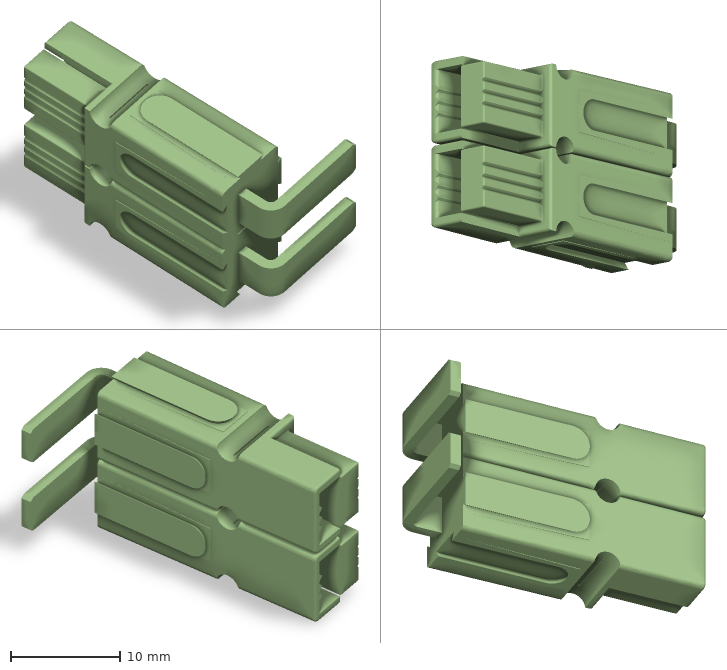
import cadquery as cq


PITCH = 7.9
MIDDLE = PITCH / 2
CONNECTOR_COUNT = 2
OVERALL_X = 28.75
OVERALL_Y = 14.05
HOUSING_REAR_X = 24.65
DRAFT_INSET = 0.12
LONG_EDGE_RADIUS = 0.5
HOOD_RIM_RADIUS = 0.25
SHOULDER_EDGE_RADIUS = 0.25

HOOD_FRONT_X = 0.1
SHOULDER_X = 8.0
HOOD_OPEN_Y = 4.0
POCKET_HEIGHT = 6.0
POCKET_WALL_ENTRY_Y = 6.95
POCKET_WALL_FLOOR_Y = 6.73
POCKET_LEAD_IN = 0.25
POCKET_LEAD_IN_RADIUS = 0.32

PLUG_BACK_Y = 3.9
PLUG_FACE_Y = 1.12
PLUG_HEIGHT = 5.8
PLUG_EDGE_RADIUS = 0.15
PLUG_ROOT_RADIUS = 0.17

KEY_COUNT = 3
KEY_PITCH = 1.12
GROOVE_DEPTH = 0.25

NOTCH_X = 10.0
NOTCH_RADIUS = 1.26
SLIT_WIDTH = 0.17
SLIT_DEPTH = 0.17
SLIT_LENGTH = 5.38
SLIT_MIDDLE_Y = 4.15

TONGUE_HEIGHT = 0.45
SLOT_DEPTH = 0.72
DOVETAIL_ROOT_WIDTH = 2.93
DOVETAIL_FLARE = 0.65
DOVETAIL_CENTRE_X = 13.85
PAD_START_X = 11.9
PAD_START_WIDTH = 3.85
PAD_END_WIDTH = 4.55
PAD_THICKNESS = 0.15

BLADE_THICKNESS = 1.04
BLADE_WIDTH = 3.82
BLADE_LOW_Y = 2.27
BLADE_INNER_RADIUS = 0.63
BLADE_TIP_CHAMFER_Y = 0.4
BLADE_TIP_CHAMFER_Z = 0.3
BLADE_ROOT_DEPTH = 2.88

NEAR = 0.3
EXACT = 0.03


def box(x, y, z):
    """Box from (low, high) pairs along X, Y and Z."""
    size = [high - low for low, high in (x, y, z)]
    return cq.Workplane("XY").box(*size, centered=False).translate((x[0], y[0], z[0]))


def edges_near(x, y, z):
    """Selector for edges whose centres lie inside the given (low, high) pairs."""
    return cq.selectors.BoxSelector((x[0], y[0], z[0]), (x[1], y[1], z[1]))


def drafted_block():
    """Square block that widens from the mating end to the rear."""
    front_side = PITCH - 2 * DRAFT_INSET
    return (
        cq.Workplane("YZ", origin=(HOOD_FRONT_X, MIDDLE, MIDDLE))
        .rect(front_side, front_side)
        .workplane(offset=HOUSING_REAR_X - HOOD_FRONT_X)
        .rect(PITCH, PITCH)
        .loft(ruled=True)
    )


def shell():
    """Housing outline: hood, shoulder, pin notches and rounded edges."""
    whole = (-NEAR, PITCH + NEAR)
    low = (-NEAR, NEAR)
    high = (PITCH - NEAR, PITCH + NEAR)
    rear = (NOTCH_X + NOTCH_RADIUS, HOUSING_REAR_X - NEAR)
    body = drafted_block().cut(box((0, SHOULDER_X), (0, HOOD_OPEN_Y), whole))
    for z in (0, PITCH):
        notch = cq.Workplane("XZ").center(NOTCH_X, z).circle(NOTCH_RADIUS).extrude(-PITCH)
        body = body.cut(notch)
    for z in (low, high):
        body = body.edges(edges_near((NEAR, HOUSING_REAR_X - NEAR), high, z)).fillet(LONG_EDGE_RADIUS)
        body = body.edges(edges_near(rear, low, z)).fillet(LONG_EDGE_RADIUS)
    beside_opening = (HOOD_OPEN_Y + NEAR, PITCH + NEAR)
    rim = body.faces("<X").edges(
        edges_near(low, beside_opening, low)
        + edges_near(low, beside_opening, high)
        + edges_near(low, high, whole)
    )
    body = rim.fillet(HOOD_RIM_RADIUS)
    at_shoulder = (SHOULDER_X - EXACT, SHOULDER_X + EXACT)
    below_hood = (-NEAR, HOOD_OPEN_Y - NEAR)
    shoulder = body.edges(
        edges_near(at_shoulder, below_hood, low)
        + edges_near(at_shoulder, below_hood, high)
        + edges_near(at_shoulder, low, whole)
    )
    return shoulder.fillet(SHOULDER_EDGE_RADIUS)


def key_heights():
    """Heights of the keying ribs and grooves."""
    return [MIDDLE + (i - (KEY_COUNT - 1) / 2) * KEY_PITCH for i in range(KEY_COUNT)]


def v_prism(tip_y, base_y, z):
    """90 degree wedge along X with its tip at tip_y, as long as the hood is deep."""
    half_width = abs(base_y - tip_y)
    return (
        cq.Workplane("YZ")
        .polyline([(tip_y, z), (base_y, z - half_width), (base_y, z + half_width)])
        .close()
        .extrude(SHOULDER_X)
    )


def hood_pocket():
    """Cavity of the hood: its +Y wall slopes in until the keying ribs vanish at the floor."""
    entry_y = POCKET_WALL_ENTRY_Y + POCKET_LEAD_IN
    pocket = (
        cq.Workplane("XY", origin=(0, 0, MIDDLE - POCKET_HEIGHT / 2))
        .moveTo(HOOD_FRONT_X, HOOD_OPEN_Y)
        .lineTo(HOOD_FRONT_X, entry_y)
        .radiusArc((HOOD_FRONT_X + POCKET_LEAD_IN, POCKET_WALL_ENTRY_Y), -POCKET_LEAD_IN_RADIUS)
        .lineTo(SHOULDER_X, POCKET_WALL_FLOOR_Y)
        .lineTo(SHOULDER_X, HOOD_OPEN_Y)
        .close()
        .extrude(POCKET_HEIGHT)
    )
    for z in key_heights():
        pocket = pocket.cut(v_prism(POCKET_WALL_FLOOR_Y, entry_y, z))
    return pocket


def add_plug(body):
    """Rounded plug beside the hood, with keying grooves along its -Y face."""
    z_range = (MIDDLE - PLUG_HEIGHT / 2, MIDDLE + PLUG_HEIGHT / 2)
    plug = box((0, SHOULDER_X), (PLUG_FACE_Y, PLUG_BACK_Y), z_range)
    plug = plug.edges("(<X or <Y) and (not >X) and (not >Y)").fillet(PLUG_EDGE_RADIUS)
    body = body.union(plug)
    at_root = (SHOULDER_X - EXACT, SHOULDER_X + EXACT)
    root_y = (PLUG_FACE_Y - EXACT, PLUG_BACK_Y - NEAR)
    root_z = (z_range[0] - EXACT, z_range[1] + EXACT)
    body = body.edges(edges_near(at_root, root_y, root_z)).fillet(PLUG_ROOT_RADIUS)
    groove_base_y = PLUG_FACE_Y - PLUG_ROOT_RADIUS
    for z in key_heights():
        body = body.cut(v_prism(PLUG_FACE_Y + GROOVE_DEPTH, groove_base_y, z))
    return body


def notch_slits():
    """Narrow slits along the bottoms of both pin notches."""
    x_range = (NOTCH_X - SLIT_WIDTH / 2, NOTCH_X + SLIT_WIDTH / 2)
    y_range = (SLIT_MIDDLE_Y - SLIT_LENGTH / 2, SLIT_MIDDLE_Y + SLIT_LENGTH / 2)
    reach = NOTCH_RADIUS + SLIT_DEPTH
    return box(x_range, y_range, (0, reach)).union(box(x_range, y_range, (PITCH - reach, PITCH)))


def dovetail(height):
    """Dovetail rising from Z = 0 along X: a trapezoid bar with a conical front end."""
    root = DOVETAIL_ROOT_WIDTH / 2
    tip = root + DOVETAIL_FLARE * height
    bar = (
        cq.Workplane("YZ", origin=(DOVETAIL_CENTRE_X, 0, 0))
        .polyline([(-root, 0), (root, 0), (tip, height), (-tip, height)])
        .close()
        .extrude(HOUSING_REAR_X - DOVETAIL_CENTRE_X)
    )
    cone = cq.Solid.makeCone(root, tip, height, pnt=cq.Vector(DOVETAIL_CENTRE_X, 0, 0))
    return bar.union(cq.Workplane(cone))


def pad():
    """Flat pad under Z = 0, widening toward the rear."""
    start = PAD_START_WIDTH / 2
    end = PAD_END_WIDTH / 2
    return (
        cq.Workplane("XY")
        .polyline([
            (PAD_START_X, -start),
            (HOUSING_REAR_X, -end),
            (HOUSING_REAR_X, end),
            (PAD_START_X, start),
        ])
        .close()
        .extrude(-PAD_THICKNESS)
    )


def toward_y(shape):
    """Turn a shape rising along Z so that it rises along Y."""
    return shape.rotate((0, 0, 0), (1, 0, 0), -90)


def add_side_joints(body):
    """Pads on the four long sides, dovetail tongues on +Z and +Y, matching slots in -Z and -Y."""
    low_pad = pad().translate((0, 0, PAD_THICKNESS))
    body = body.union(pad().translate((0, MIDDLE, PITCH)))
    body = body.union(low_pad.translate((0, MIDDLE, 0)))
    body = body.union(toward_y(pad()).translate((0, PITCH, MIDDLE)))
    body = body.union(toward_y(low_pad).translate((0, 0, MIDDLE)))
    body = body.union(dovetail(TONGUE_HEIGHT).translate((0, MIDDLE, PITCH)))
    body = body.union(toward_y(dovetail(TONGUE_HEIGHT)).translate((0, PITCH, MIDDLE)))
    body = body.cut(dovetail(SLOT_DEPTH).translate((0, MIDDLE, 0)))
    return body.cut(toward_y(dovetail(SLOT_DEPTH)).translate((0, 0, MIDDLE)))


def blade():
    """Contact blade bent from +X up to +Y, with chamfered tip corners."""
    high_y = BLADE_LOW_Y + BLADE_THICKNESS
    inner_x = OVERALL_X - BLADE_THICKNESS
    outer_radius = BLADE_INNER_RADIUS + BLADE_THICKNESS
    root_x = HOUSING_REAR_X - BLADE_ROOT_DEPTH
    strip = (
        cq.Workplane("XY", origin=(0, 0, MIDDLE - BLADE_WIDTH / 2))
        .moveTo(root_x, BLADE_LOW_Y)
        .lineTo(OVERALL_X - outer_radius, BLADE_LOW_Y)
        .radiusArc((OVERALL_X, BLADE_LOW_Y + outer_radius), -outer_radius)
        .lineTo(OVERALL_X, OVERALL_Y)
        .lineTo(inner_x, OVERALL_Y)
        .lineTo(inner_x, high_y + BLADE_INNER_RADIUS)
        .radiusArc((inner_x - BLADE_INNER_RADIUS, high_y), BLADE_INNER_RADIUS)
        .lineTo(root_x, high_y)
        .close()
        .extrude(BLADE_WIDTH)
    )
    half = BLADE_WIDTH / 2
    for side in (-1, 1):
        corner = (
            cq.Workplane("YZ", origin=(inner_x, 0, MIDDLE))
            .polyline([
                (OVERALL_Y, side * half),
                (OVERALL_Y - BLADE_TIP_CHAMFER_Y, side * half),
                (OVERALL_Y, side * (half - BLADE_TIP_CHAMFER_Z)),
            ])
            .close()
            .extrude(BLADE_THICKNESS)
        )
        strip = strip.cut(corner)
    return strip


def connector():
    """One housing and its contact blade as a single solid."""
    body = shell().cut(hood_pocket())
    body = add_plug(body)
    body = body.cut(notch_slits())
    body = add_side_joints(body)
    return body.union(blade())


connectors = [
    connector().translate((0, 0, i * PITCH)).solids().val()
    for i in range(CONNECTOR_COUNT)
]
result = cq.Compound.makeCompound(connectors)